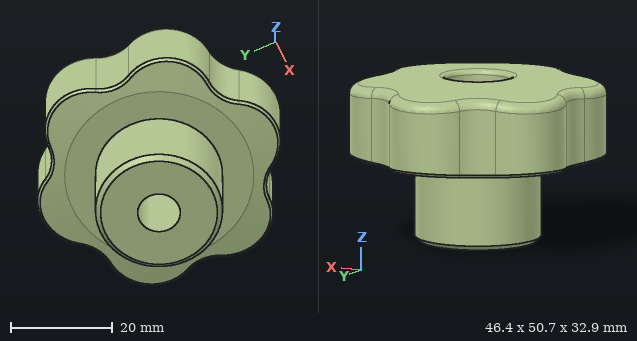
import cadquery as cq
import math


lobe_count = 6
half_pitch = math.pi / lobe_count
tip_radius = 25.35
lobe_radius = 9.45
valley_radius = 7.6
tight_valley_radius = 7.0

dome_apex_height = 33.1
dome_sphere_radius = 159.65
underside_height = 15.9
underside_flat_radius = 18.6
underside_sphere_radius = 152.05
top_edge_fillet = 2.0
bottom_edge_chamfer = 0.5

hub_diameter = 25.0
hub_chamfer = 1.0
bore_diameter = 8.35
counterbore_diameter = 13.0
counterbore_fillet = 1.0


def polar(radius, angle):
    """Point at a distance and an angle (radians) from the knob axis."""
    return (radius * math.cos(angle), radius * math.sin(angle))


def valley_arc(radius):
    """Floor distance, and distance and half angle of the ends, of a valley arc tangent to two lobes."""
    lobe_center = tip_radius - lobe_radius

    center_gap = lobe_radius + radius
    side_offset = lobe_center * math.sin(half_pitch)
    valley_center = lobe_center * math.cos(half_pitch) + math.sqrt(center_gap**2 - side_offset**2)

    tangent_across = side_offset * radius / center_gap
    tangent_along = valley_center - math.sqrt(radius**2 - tangent_across**2)
    end_distance = math.hypot(tangent_along, tangent_across)
    end_angle = math.atan2(tangent_across, tangent_along)
    return valley_center - radius, end_distance, end_angle


def lobed_outline():
    """Closed outline of convex lobe arcs joined tangentially by concave valley arcs."""
    valleys = [valley_arc(tight_valley_radius)] + [valley_arc(valley_radius)] * (lobe_count - 1)
    _, first_end_distance, first_end_angle = valleys[0]

    outline = cq.Workplane("XY", origin=(0, 0, underside_height))
    outline = outline.moveTo(*polar(first_end_distance, -first_end_angle))
    for index, (floor_distance, end_distance, end_angle) in enumerate(valleys):
        valley_angle = 2 * half_pitch * index
        next_valley_angle = valley_angle + 2 * half_pitch
        _, next_end_distance, next_end_angle = valleys[(index + 1) % lobe_count]
        outline = outline.threePointArc(
            polar(floor_distance, valley_angle),
            polar(end_distance, valley_angle + end_angle),
        )
        outline = outline.threePointArc(
            polar(tip_radius, valley_angle + half_pitch),
            polar(next_end_distance, next_valley_angle - next_end_angle),
        )
    return outline.close()


def sphere_on_axis(radius, center_height):
    """Ball centered on the knob axis, its poles laid along Y so that no seam crosses the head."""
    return cq.Workplane("XY", origin=(0, 0, center_height)).sphere(radius, direct=(0, 1, 0))


def rim_edges(body, face_selector):
    """Edges where the dome (">Z") or the underside ("<Z") meets the lobed wall.

    These follow a sphere cut by the lobes, so they are the only spline edges of the spherical face.
    """
    return body.faces("%SPHERE").faces(face_selector).edges("%BSPLINE")


def head():
    dome = sphere_on_axis(dome_sphere_radius, dome_apex_height - dome_sphere_radius)

    center_rise = math.sqrt(underside_sphere_radius**2 - underside_flat_radius**2)
    underside = sphere_on_axis(underside_sphere_radius, underside_height + center_rise)

    body = lobed_outline().extrude(dome_apex_height - underside_height).intersect(dome).intersect(underside)
    body = rim_edges(body, ">Z").fillet(top_edge_fillet)
    body = rim_edges(body, "<Z").chamfer(bottom_edge_chamfer)

    counterbore = cq.Workplane("XY").circle(counterbore_diameter / 2).extrude(dome_apex_height)
    body = body.cut(counterbore)
    return body.faces("%SPHERE").faces(">Z").edges("%CIRCLE").fillet(counterbore_fillet)


def hub():
    """Hub with its through bore; its upper end closes the counterbore."""
    return (
        cq.Workplane("XY")
        .circle(hub_diameter / 2)
        .extrude(underside_height)
        .faces("<Z")
        .chamfer(hub_chamfer)
        .faces("<Z")
        .workplane()
        .hole(bore_diameter)
    )


result = head().union(hub())